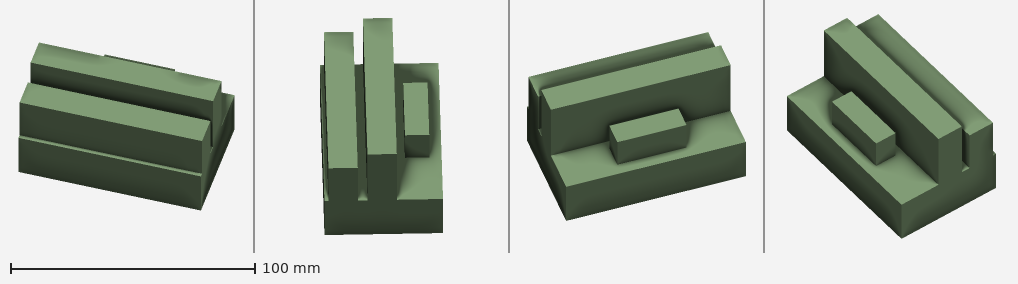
import cadquery as cq

length = 78.0
depth = 48.6
base_height = 20.0

rib_thickness = 12.0
total_height = 46.8
front_rib_height = 19.1
front_ledge = 1.6
rib_gap = 4.0

block_length = 30.0
block_depth = 10.0
block_height = 13.2
block_back_margin = 5.1

tall_rib_height = total_height - base_height
tall_rib_front = front_ledge + rib_thickness + rib_gap
block_front = depth - block_back_margin - block_depth


def centred_bar(bar_length, front, bar_depth, bottom, height):
    """Box centred along X, starting at the given front Y and bottom Z."""
    return (
        cq.Workplane("XY")
        .box(bar_length, bar_depth, height, centered=(True, False, False))
        .translate((0, front, bottom))
    )


base = centred_bar(length, 0, depth, 0, base_height)
front_rib = centred_bar(length, front_ledge, rib_thickness, base_height, front_rib_height)
tall_rib = centred_bar(length, tall_rib_front, rib_thickness, base_height, tall_rib_height)
block = centred_bar(block_length, block_front, block_depth, base_height, block_height)

result = base.union(front_rib).union(tall_rib).union(block)